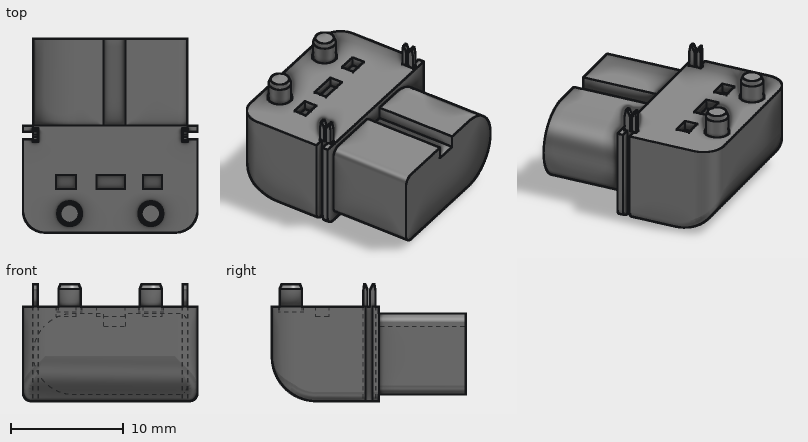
import cadquery as cq


shell_width = 15.5
shell_depth = 9.5
shell_height = 8.4
shell_corner_radius = 2.0
heel_radius = 4.0
lower_edge_radius = 0.8

plug_length = 7.7
plug_width = 13.65
plug_height = 7.2
plug_corner_radius = 0.8
plug_bottom = (shell_height - plug_height) / 2
key_groove_left = -0.6
key_groove_width = 1.95
key_groove_depth = 1.15

windows = [(-3.92, 1.73), (0.05, 2.55), (3.75, 1.7)]
window_length = 1.2
window_depth = 0.87
window_y = -5.0

post_spacing = 7.2
post_diameter = 2.0
post_height = 2.0
post_tip_length = 0.45
post_tip_inset = 0.18
post_y = -7.8
relief_diameter = 2.2
relief_depth = 0.5

clip_outer_x = 6.845
clip_thickness = 0.44
clip_front_y = -0.28
clip_width = 1.12
clip_rise = 2.0
clip_clearance = 0.03
slot_front_y = -0.55
slot_width = 0.65
slit_front_y = -0.8
slit_width = 0.2
tip_outer_bevel = 0.65
tip_inner_bevel = 0.52
front_tip_inset = 0.12
front_tip_flat = 0.13
back_tip_inset = 0.08
back_tip_flat = 0.1

clip_center_x = clip_outer_x - clip_thickness / 2
clip_back_y = clip_front_y - clip_width
slit_back_y = slit_front_y - slit_width
slot_y = slot_front_y - slot_width / 2
clip_y = clip_front_y - clip_width / 2
clip_top = shell_height + clip_rise

sides = (-1, 1)


def make_shell():
    """Block with rounded rear corners, a large heel round and softened lower side edges."""
    block = cq.Workplane("XY").box(
        shell_width, shell_depth, shell_height, centered=(True, False, False)
    ).translate((0, -shell_depth, 0))
    round_cornered = block.edges("|Z and <Y").fillet(shell_corner_radius)
    round_heeled = block.edges("<Z and <Y").fillet(heel_radius)
    shell = round_cornered.intersect(round_heeled)
    return shell.edges("<Z and |Y").fillet(lower_edge_radius)


def make_plug():
    """Keyed plug: half-round on the left, small corners on the right, key groove on top."""
    half_width = plug_width / 2
    half_round = plug_height / 2
    plug_top = plug_bottom + plug_height
    flat_left = half_round - half_width
    plug = (
        cq.Workplane("XZ")
        .moveTo(flat_left, plug_bottom)
        .lineTo(half_width, plug_bottom)
        .lineTo(half_width, plug_top)
        .lineTo(flat_left, plug_top)
        .threePointArc((-half_width, plug_bottom + half_round), (flat_left, plug_bottom))
        .close()
        .extrude(-plug_length)
    )
    plug = plug.edges("|Y and >X").fillet(plug_corner_radius)
    key_groove = cq.Workplane("XY").box(
        key_groove_width, plug_length, key_groove_depth, centered=False
    ).translate((key_groove_left, 0, plug_top - key_groove_depth))
    return plug.cut(key_groove)


def make_window(center_x, width):
    """Cutter for one rectangular window in the top of the shell."""
    floor = shell_height - window_depth
    return cq.Workplane("XY").box(
        width, window_length, window_depth, centered=(True, True, False)
    ).translate((center_x, window_y, floor))


def make_post(x):
    """Locating post with a tapered tip, rooted at the floor of its relief."""
    root = shell_height - relief_depth
    post = (
        cq.Workplane("XY", origin=(x, post_y, root))
        .circle(post_diameter / 2)
        .extrude(relief_depth + post_height)
    )
    return post.faces(">Z").chamfer(post_tip_length, post_tip_inset)


def make_post_relief(x):
    """Cutter for the narrow clearance ring around a post."""
    return (
        cq.Workplane("XY", origin=(x, post_y, shell_height))
        .circle(relief_diameter / 2)
        .extrude(-relief_depth)
    )


def make_side_slot(side):
    """Cutter for the slot in the side of the shell that opens onto the clip."""
    reach = shell_width / 2 - clip_outer_x
    return cq.Workplane("XY").box(reach, slot_width, shell_height, centered=(True, True, False)).translate(
        (side * (clip_outer_x + reach / 2), slot_y, 0)
    )


def make_clip_pocket(side):
    """Cutter for the pocket that holds a clip, slightly larger than the clip in section."""
    return cq.Workplane("XY").box(
        clip_thickness + 2 * clip_clearance,
        clip_width + 2 * clip_clearance,
        shell_height,
        centered=(True, True, False),
    ).translate((side * clip_center_x, clip_y, 0))


def make_clip(side):
    """Flat clip as tall as the shell, ending above it in a fork of two pointed prongs."""
    front_tip = clip_front_y - front_tip_inset
    back_tip = clip_back_y + back_tip_inset
    outline = [
        (clip_front_y, 0),
        (clip_front_y, clip_top - tip_outer_bevel),
        (front_tip, clip_top),
        (front_tip - front_tip_flat, clip_top),
        (slit_front_y, clip_top - tip_inner_bevel),
        (slit_front_y, shell_height),
        (slit_back_y, shell_height),
        (slit_back_y, clip_top - tip_inner_bevel),
        (back_tip + back_tip_flat, clip_top),
        (back_tip, clip_top),
        (clip_back_y, clip_top - tip_outer_bevel),
        (clip_back_y, 0),
    ]
    plane = cq.Workplane("YZ", origin=(side * clip_center_x, 0, 0))
    return plane.polyline(outline).close().extrude(clip_thickness / 2, both=True)


housing = make_shell().union(make_plug())
for center_x, width in windows:
    housing = housing.cut(make_window(center_x, width))
for side in sides:
    post_x = side * post_spacing / 2
    housing = housing.cut(make_post_relief(post_x))
    housing = housing.union(make_post(post_x))
    housing = housing.cut(make_side_slot(side))
    housing = housing.cut(make_clip_pocket(side))

clips = [make_clip(side) for side in sides]

result = cq.Compound.makeCompound([housing.val()] + [clip.val() for clip in clips])